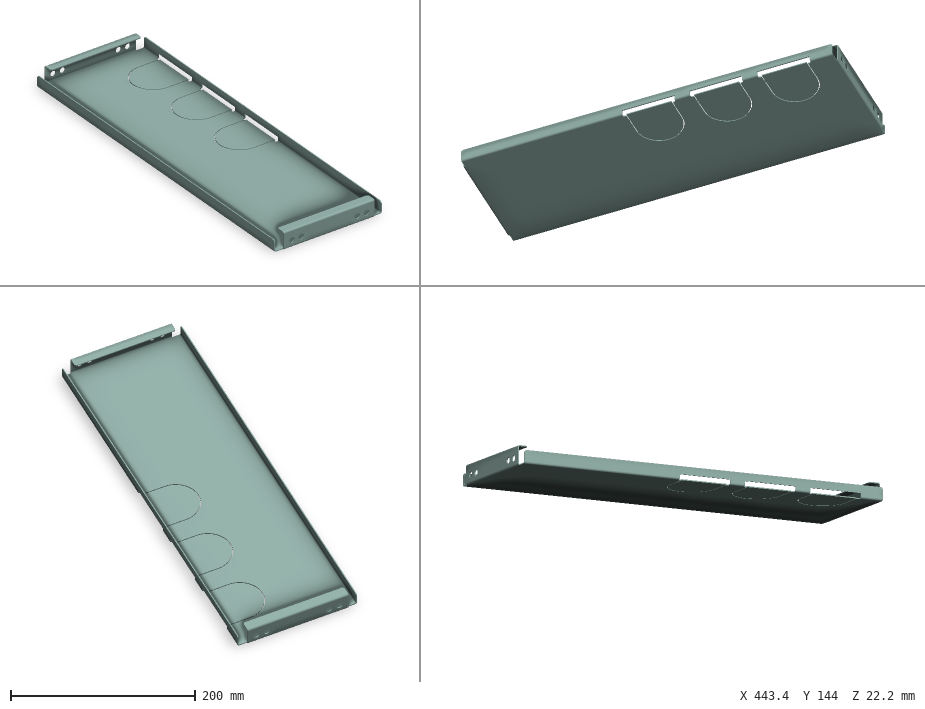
import cadquery as cq

LENGTH = 443.4
WIDTH = 144.0
HEIGHT = 22.2

SHEET = 1.2
BEND_INSIDE = 1.0
BEND_OUTSIDE = BEND_INSIDE + SHEET

WALL_LENGTH = LENGTH - 2 * BEND_OUTSIDE
WALL_HEIGHT = 15
WALL_CORNER_RADIUS = 3

FLANGE_WIDTH = 121.6
LIP_LENGTH = 12
LIP_CORNER_RADIUS = 3

HOLE_DIAMETER = 6.9
HOLE_HEIGHT = 9.0
HOLE_OFFSETS_Y = (37.5, 50.0)

TAB_COUNT = 3
TAB_PITCH = 80.0
FIRST_TAB_X = -161.7
TAB_RADIUS = 26.5
TAB_CENTRE_Y = 41.5
TAB_BACK_GAP = 1.0
SLOT_WIDTH = 1.0

RELIEF_OVERHANG = 3.5
RELIEF_FRONT_Y = 67.7
RELIEF_HEIGHT = 6
RELIEF_CORNER_RADIUS = 1.8

BRIDGE_WIDTH = 0.5
BRIDGE_Y = 60.0


def block(x_range, y_range, z_range):
    """Box between the given limits."""
    size = [end - start for start, end in (x_range, y_range, z_range)]
    return cq.Workplane("XY").box(*size, centered=False).translate((x_range[0], y_range[0], z_range[0]))


def make_walled_floor():
    """Floor and both long walls, folded from one U-shaped section."""
    outer = cq.Workplane("XY").box(WALL_LENGTH, WIDTH, WALL_HEIGHT, centered=(True, True, False))
    outer = outer.edges("|X and <Z").fillet(BEND_OUTSIDE)
    inner = cq.Workplane("XY").workplane(offset=SHEET)
    inner = inner.box(WALL_LENGTH, WIDTH - 2 * SHEET, WALL_HEIGHT, centered=(True, True, False))
    inner = inner.edges("|X and <Z").fillet(BEND_INSIDE)
    return outer.cut(inner).edges("|Y and >Z").fillet(WALL_CORNER_RADIUS)


def make_end_flanges():
    """Both end flanges with their lips, joined by a strip of floor."""
    outer = cq.Workplane("XY").box(LENGTH, FLANGE_WIDTH, HEIGHT, centered=(True, True, False))
    outer = outer.edges("|Y").fillet(BEND_OUTSIDE)
    inner = cq.Workplane("XY").workplane(offset=SHEET)
    inner = inner.box(LENGTH - 2 * SHEET, FLANGE_WIDTH, HEIGHT - 2 * SHEET, centered=(True, True, False))
    inner = inner.edges("|Y").fillet(BEND_INSIDE)
    lip_gap = cq.Workplane("XY").workplane(offset=HEIGHT - SHEET)
    lip_gap = lip_gap.box(LENGTH - 2 * LIP_LENGTH, FLANGE_WIDTH, SHEET, centered=(True, True, False))
    flanges = outer.cut(inner).cut(lip_gap)
    lip_zone = cq.selectors.BoxSelector(
        (-LENGTH / 2 + BEND_OUTSIDE, -WIDTH / 2, HEIGHT - SHEET),
        (LENGTH / 2 - BEND_OUTSIDE, WIDTH / 2, HEIGHT),
    )
    return flanges.edges("|Z").edges(lip_zone).fillet(LIP_CORNER_RADIUS)


def make_flange_holes():
    """Drills along X that pierce both end flanges."""
    centres = [(side * y, HOLE_HEIGHT) for side in (-1, 1) for y in HOLE_OFFSETS_Y]
    drills = cq.Workplane("YZ").pushPoints(centres).circle(HOLE_DIAMETER / 2)
    return drills.extrude(LENGTH / 2, both=True)


def make_tab_outline(x, radius, back_y):
    """Floor-thick plate with a round front end and a straight back edge."""
    outline = (
        cq.Workplane("XY")
        .moveTo(x - radius, back_y)
        .lineTo(x - radius, TAB_CENTRE_Y)
        .threePointArc((x, TAB_CENTRE_Y - radius), (x + radius, TAB_CENTRE_Y))
        .lineTo(x + radius, back_y)
        .close()
    )
    return outline.extrude(SHEET)


def cut_tab(tray, x):
    """Free one tab from the floor and the wall, leaving two bridges."""
    wall_inside_y = WIDTH / 2 - SHEET
    slot_radius = TAB_RADIUS + SLOT_WIDTH
    relief_half_width = slot_radius + RELIEF_OVERHANG
    tab = make_tab_outline(x, TAB_RADIUS, wall_inside_y - TAB_BACK_GAP)
    opening = make_tab_outline(x, slot_radius, wall_inside_y)
    relief = block(
        (x - relief_half_width, x + relief_half_width),
        (RELIEF_FRONT_Y, WIDTH / 2),
        (0, RELIEF_HEIGHT),
    )
    relief = relief.edges("|Z and <Y").fillet(RELIEF_CORNER_RADIUS)
    bridges = block(
        (x - slot_radius, x + slot_radius),
        (BRIDGE_Y - BRIDGE_WIDTH / 2, BRIDGE_Y + BRIDGE_WIDTH / 2),
        (0, SHEET),
    )
    return tray.cut(opening).cut(relief).union(tab.union(bridges))


tray = make_walled_floor().union(make_end_flanges()).cut(make_flange_holes())
for index in range(TAB_COUNT):
    tray = cut_tab(tray, FIRST_TAB_X + index * TAB_PITCH)

result = tray